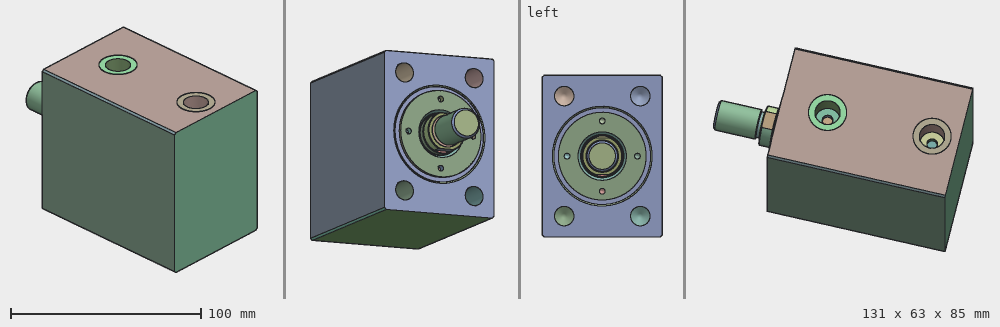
import cadquery as cq
import math

total_length = 131.0
rod_reach = 35.0
block_length = total_length - rod_reach
block_width = 63.0
block_height = 85.0
block_edge_chamfer = 1.0

mount_pitch_y = 40.0
mount_pitch_z = 63.0
mount_diameter = 10.2
mount_depth = 24.9
drill_point_angle = 118.0

front_port_x = 25.0
rear_port_x = 81.5
spotface_diameter = 20.0
spotface_depth = 0.3
port_diameter = 13.2
port_depth = 12.0
passage_diameter = 5.6
passage_depth = 15.0

gland_radius = 25.4
gland_depth = 18.3
seat_chamfer = 0.8
boss_radius = 23.0
boss_height = 2.0
pin_hole_count = 4
pin_hole_diameter = 3.0
pin_hole_depth = 3.9
pin_circle_radius = 18.5

wiper_radius = 12.7
wiper_depth = 3.9
wiper_lip_depth = 2.0
wiper_throat_radius = 11.4

rod_radius = 11.0
rod_shoulder_x = -3.7
neck_radius = 10.6
neck_front_x = -9.7
neck_chamfer = 0.4
flat_spacing = 19.1
spigot_radius = 8.5
spigot_length = 0.4
thread_radius = 8.0
thread_end_x = -12.3
thread_tip_chamfer = 1.0
relief_radius = 7.0
relief_chamfer = 0.4
relief_fillet = 0.5


def revolve_about_x(profile):
    """Turn a closed (X, radius) outline around the cylinder axis."""
    return profile.close().revolve(360, (0, 0, 0), (1, 0, 0))


def drilled_hole(start_x, diameter, depth):
    """Cutter for a blind hole along +X with a conical drill point."""
    radius = diameter / 2
    point_length = radius / math.tan(math.radians(drill_point_angle / 2))
    outline = (
        cq.Workplane("XY")
        .moveTo(start_x, 0)
        .lineTo(start_x, radius)
        .lineTo(start_x + depth, radius)
        .lineTo(start_x + depth + point_length, 0)
    )
    return revolve_about_x(outline)


def x_cylinder(start_x, end_x, radius):
    return cq.Workplane("YZ", origin=(start_x, 0, 0)).circle(radius).extrude(end_x - start_x)


def port_cutter(port_x):
    """Stepped cutter: spotface, threaded bore and narrow passage, from the top face down."""
    top = cq.Workplane("XY", origin=(port_x, 0, block_height / 2))
    spotface = top.circle(spotface_diameter / 2).extrude(-spotface_depth)
    bore = top.circle(port_diameter / 2).extrude(-port_depth)
    passage = top.circle(passage_diameter / 2).extrude(-passage_depth)
    return spotface.union(bore).union(passage)


def make_block():
    block = (
        cq.Workplane("XY")
        .box(block_length, block_width, block_height)
        .translate((block_length / 2, 0, 0))
        .edges("|X")
        .chamfer(block_edge_chamfer)
    )
    seat = revolve_about_x(
        cq.Workplane("XY")
        .lineTo(0, gland_radius + seat_chamfer)
        .lineTo(seat_chamfer, gland_radius)
        .lineTo(gland_depth, gland_radius)
        .lineTo(gland_depth, 0)
    )
    block = block.cut(seat)
    mount_hole = drilled_hole(0, mount_diameter, mount_depth)
    for side_y in (-1, 1):
        for side_z in (-1, 1):
            offset = (0, side_y * mount_pitch_y / 2, side_z * mount_pitch_z / 2)
            block = block.cut(mount_hole.translate(offset))
    for port_x in (front_port_x, rear_port_x):
        block = block.cut(port_cutter(port_x))
    return block


def make_gland():
    gland = x_cylinder(0, gland_depth, gland_radius)
    gland = gland.union(x_cylinder(-boss_height, 0, boss_radius))
    gland = gland.cut(x_cylinder(-boss_height, gland_depth, rod_radius))
    gland = gland.cut(x_cylinder(-boss_height, wiper_depth - boss_height, wiper_radius))
    pin_hole = drilled_hole(-boss_height, pin_hole_diameter, pin_hole_depth)
    pin_hole = pin_hole.translate((0, pin_circle_radius, 0))
    for index in range(pin_hole_count):
        angle = index * 360 / pin_hole_count
        gland = gland.cut(pin_hole.rotate((0, 0, 0), (1, 0, 0), angle))
    return gland


def make_wiper():
    """Ring in the gland mouth whose bore narrows conically to a small step around the rod."""
    front_x = -boss_height
    back_x = front_x + wiper_depth
    return revolve_about_x(
        cq.Workplane("XY")
        .moveTo(front_x, wiper_radius)
        .lineTo(back_x, wiper_radius)
        .lineTo(back_x, rod_radius)
        .lineTo(front_x + wiper_lip_depth, rod_radius)
        .lineTo(front_x + wiper_lip_depth, wiper_throat_radius)
    )


def make_rod():
    tip_x = -rod_reach
    spigot_front_x = neck_front_x - spigot_length
    shoulder_chamfer = rod_radius - neck_radius
    rod = revolve_about_x(
        cq.Workplane("XY")
        .moveTo(tip_x, 0)
        .lineTo(tip_x, thread_radius - thread_tip_chamfer)
        .lineTo(tip_x + thread_tip_chamfer, thread_radius)
        .lineTo(thread_end_x, thread_radius)
        .lineTo(thread_end_x + relief_chamfer, relief_radius)
        .lineTo(spigot_front_x - relief_fillet, relief_radius)
        .radiusArc((spigot_front_x, relief_radius + relief_fillet), -relief_fillet)
        .lineTo(spigot_front_x, spigot_radius)
        .lineTo(neck_front_x, spigot_radius)
        .lineTo(neck_front_x, neck_radius - neck_chamfer)
        .lineTo(neck_front_x + neck_chamfer, neck_radius)
        .lineTo(rod_shoulder_x, neck_radius)
        .lineTo(rod_shoulder_x + shoulder_chamfer, rod_radius)
        .lineTo(gland_depth, rod_radius)
        .lineTo(gland_depth, 0)
    )
    flat_length = rod_shoulder_x - neck_front_x
    flat_cut_height = rod_radius
    for side in (-1, 1):
        cutter = cq.Workplane("XY").box(flat_length, 2 * rod_radius, flat_cut_height)
        center_z = side * (flat_spacing + flat_cut_height) / 2
        rod = rod.cut(cutter.translate((neck_front_x + flat_length / 2, 0, center_z)))
    return rod


block = make_block()
gland = make_gland()
wiper = make_wiper()
rod = make_rod()

result = cq.Compound.makeCompound([block.val(), gland.val(), wiper.val(), rod.val()])